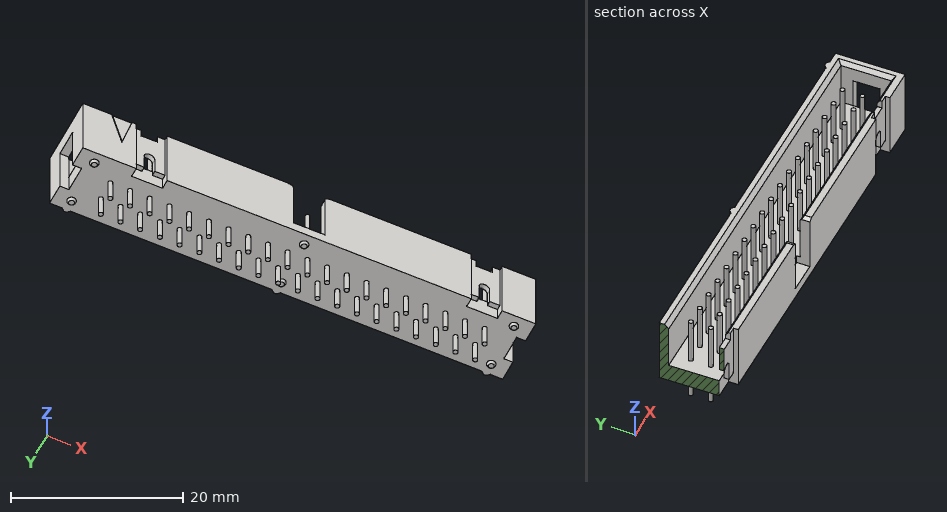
import cadquery as cq

length = 58.4
depth = 8.9
height = 8.75

end_wall = 1.15
side_wall = 1.2
floor_top = 2.45
lead_in_height = 0.5
end_rim = 0.7
back_rim = 0.7
front_rim = 0.9

pins_per_row = 20
pin_row_span = 48.25
pin_pitch = pin_row_span / (pins_per_row - 1)
pin_diameter = 0.6
pin_top = 8.5
pin_tail = 3.05

key_width = 4.1
key_depth = 1.7
key_bottom = 1.4
key_flare_width = 0.5
key_flare_depth = 0.3

end_slot_width = 3.4
end_slot_top = 6.35

latch_width = 4.0
latch_recess = 0.6
latch_foot_height = 1.75
latch_notch_width = 2.1
latch_notch_depth = 1.05
latch_window_width = 1.35
latch_window_top = 4.7

mark_width = 2.55
mark_height = 4.55
mark_depth = 0.1

rib_spacing = 27.05
rib_base_width = 1.1
rib_tip_width = 0.35
rib_height = 0.35

standoff_row_offset = 3.05
standoff_base_diameter = 1.1
standoff_tip_diameter = 0.7
standoff_height = 0.35

front = -depth / 2
back = depth / 2
first_pin_x = -pin_row_span / 2
pin_columns = [first_pin_x + i * pin_pitch for i in range(pins_per_row)]
rib_columns = [-rib_spacing, 0, rib_spacing]
latch_columns = [(pin_columns[1] + pin_columns[2]) / 2, (pin_columns[-2] + pin_columns[-1]) / 2]


def block(x_range, y_range, z_range):
    """Axis-aligned box between the given limits."""
    size = [high - low for low, high in (x_range, y_range, z_range)]
    corner = (x_range[0], y_range[0], z_range[0])
    return cq.Workplane("XY").box(*size, centered=False).translate(corner)


def centred_span(centre, width):
    return (centre - width / 2, centre + width / 2)


def cavity():
    """Open mating cavity with a sloped lead-in around its mouth."""
    inner_x = length / 2 - end_wall
    inner_y = back - side_wall
    rim_x = length / 2 - end_rim
    well = block((-inner_x, inner_x), (-inner_y, inner_y), (floor_top, height))
    rim_y_range = (front + front_rim, back - back_rim)
    lead_in = (
        cq.Workplane("XY", origin=(0, 0, height - lead_in_height))
        .rect(2 * inner_x, 2 * inner_y)
        .workplane(offset=lead_in_height)
        .center(0, sum(rim_y_range) / 2)
        .rect(2 * rim_x, rim_y_range[1] - rim_y_range[0])
        .loft(ruled=True)
    )
    return well.union(lead_in)


def key_slot():
    """Polarising slot in the front wall, with its mouth flared on both sides."""
    slot = block(centred_span(0, key_width), (front, front + key_depth), (key_bottom, height))
    half_key = key_width / 2
    half_mouth = half_key + key_flare_width
    flare = (
        cq.Workplane("XZ", origin=(0, front, height))
        .polyline([
            (-half_mouth, 0),
            (half_mouth, 0),
            (half_key, -key_flare_depth),
            (-half_key, -key_flare_depth),
        ])
        .close()
        .extrude(-side_wall)
    )
    return slot.union(flare)


def end_slots():
    """Slots through both end walls, open at the bottom."""
    slot_y = centred_span(0, end_slot_width)
    inner_x = length / 2 - end_wall
    left = block((-length / 2, -inner_x), slot_y, (0, end_slot_top))
    right = block((inner_x, length / 2), slot_y, (0, end_slot_top))
    return left.union(right)


def latch_cut(x):
    """Recess in the front wall with a foot cut, an arched window and a notch at the top."""
    wall_y = (front, front + side_wall)
    recess = block(centred_span(x, latch_width), (front, front + latch_recess), (0, height))
    foot = block(centred_span(x, latch_width), wall_y, (0, latch_foot_height))
    notch = block(centred_span(x, latch_notch_width), wall_y, (height - latch_notch_depth, height))
    radius = latch_window_width / 2
    arch_z = latch_window_top - radius
    window = (
        cq.Workplane("XZ", origin=(x, front, 0))
        .moveTo(-radius, latch_foot_height)
        .lineTo(-radius, arch_z)
        .threePointArc((0, latch_window_top), (radius, arch_z))
        .lineTo(radius, latch_foot_height)
        .close()
        .extrude(-side_wall)
    )
    return recess.union(foot).union(notch).union(window)


def pin_one_mark():
    """Shallow engraved triangle pointing down at the first pin."""
    return (
        cq.Workplane("XZ", origin=(first_pin_x, front, height))
        .polyline([(-mark_width / 2, 0), (mark_width / 2, 0), (0, -mark_height)])
        .close()
        .extrude(-mark_depth)
    )


def back_rib(x):
    """Full-height crush rib with a trapezoidal section on the back wall."""
    half_base = rib_base_width / 2
    half_tip = rib_tip_width / 2
    return (
        cq.Workplane("XY", origin=(x, back, 0))
        .polyline([(-half_base, 0), (-half_tip, rib_height), (half_tip, rib_height), (half_base, 0)])
        .close()
        .extrude(height)
    )


def standoff(x, y):
    """Small tapered foot under the housing."""
    return (
        cq.Workplane("XY", origin=(x, y, 0))
        .circle(standoff_base_diameter / 2)
        .workplane(offset=-standoff_height)
        .circle(standoff_tip_diameter / 2)
        .loft()
    )


def pin(x, y):
    """Round contact pin running through the floor."""
    return (
        cq.Workplane("XY", origin=(x, y, -pin_tail))
        .circle(pin_diameter / 2)
        .extrude(pin_tail + pin_top)
    )


result = block((-length / 2, length / 2), (front, back), (0, height))
result = result.cut(cavity()).cut(key_slot()).cut(end_slots()).cut(pin_one_mark())

for latch_x in latch_columns:
    result = result.cut(latch_cut(latch_x))

for rib_x in rib_columns:
    result = result.union(back_rib(rib_x))
    for row_y in (-standoff_row_offset, standoff_row_offset):
        result = result.union(standoff(rib_x, row_y))

for pin_x in pin_columns:
    for row_y in (-pin_pitch / 2, pin_pitch / 2):
        result = result.union(pin(pin_x, row_y))